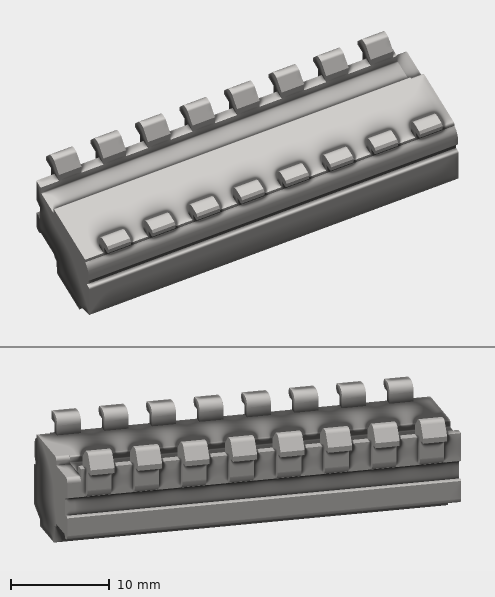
import cadquery as cq
import math


length = 41.5
end_length = 1.45
body_width = 12.5
top_z = 9.45

rib_width = 1.05
rib_bottom_z = 6.47
side_groove_x = 0.9
side_groove_top_z = 6.1
side_groove_round = 0.15
side_groove_bottom_z = 4.27
lip_rise = 0.15
lip_chamfer = 0.12
foot_z = 1.9
foot_round = 0.5
foot_width = 0.8
underside_z = 2.3

keel_left_x = 4.9
keel_right_x = 10.13
keel_left_draft = 0.15
keel_step_x = 4.1
keel_step_run = 0.25
keel_shoulder_z = 1.9
keel_shoulder_round = 0.15
keel_edge_round = 0.12
keel_right_draft = 0.12
keel_slope_z = 0.75

right_face_bottom_z = 1.65
notch_z = 5.95
notch_x = 11.85
notch_height = 0.4
cheek_x = 12.3
cheek_bottom_z = 6.95
cheek_top_z = 8.7
cheek_bottom_round = 0.2
cheek_top_round = 1.25
right_face_round = 0.2
top_right_x = 11.5
shoulder_z = 9.05

groove_floor_z = 8.7
groove_left_x = rib_width + 0.15
groove_wall_x = 4.05
groove_round = 0.12
groove_top_round = 0.15
end_floor_z = 8.6
end_wall_x = 4.1
end_corner_round = 0.55
end_top_round = 0.4
end_right_round = 0.25

clip_count = 8
clip_width = 2.55
clip_row_length = 35.03
last_clip_inset = 3.15
clip_pitch = clip_row_length / (clip_count - 1)
clip_top_z = 11.5
clip_root = 0.4

left_clip_tip_x = -2.05
left_clip_tip_z = 10.0
left_clip_peak_x = -1.0
left_clip_flat_end_x = -0.15
left_clip_right_z = 10.4
left_clip_peak_round = 0.65
left_clip_flat_round = 0.35
stem_x = -0.87
stem_bottom_z = 6.55

right_clip_tip_x = 12.65
right_clip_thickness = 1.0
right_clip_chamfer = 0.25


def rounded_prism(corners, y_start, y_end):
    """Extrude an XZ outline along Y. Each corner is (x, z) or (x, z, radius)."""
    outline = None
    for i, corner in enumerate(corners):
        x, z = corner[:2]
        radius = corner[2] if len(corner) == 3 else 0
        before = corners[i - 1]
        after = corners[(i + 1) % len(corners)]
        to_before = cq.Vector(before[0] - x, before[1] - z, 0).normalized()
        to_after = cq.Vector(after[0] - x, after[1] - z, 0).normalized()
        vertex = cq.Vector(x, z, 0)
        half_angle = to_before.getAngle(to_after) / 2
        setback = radius / math.tan(half_angle)
        start = vertex + to_before * setback
        if outline is None:
            outline = cq.Workplane("XZ", origin=(0, y_start, 0)).moveTo(start.x, start.y)
        else:
            outline = outline.lineTo(start.x, start.y)
        if radius:
            end = vertex + to_after * setback
            bisector = (to_before + to_after).normalized()
            middle = vertex + bisector * (radius / math.sin(half_angle) - radius)
            outline = outline.threePointArc((middle.x, middle.y), (end.x, end.y))
    return outline.close().extrude(y_start - y_end)


lip_z = side_groove_bottom_z + lip_rise

lower_outline = [
    (0, rib_bottom_z),
    (side_groove_x, side_groove_top_z, side_groove_round),
    (side_groove_x, side_groove_bottom_z),
    (side_groove_x / 2, lip_z),
    (lip_chamfer, lip_z),
    (0, lip_z - lip_chamfer),
    (0, foot_z, foot_round),
    (foot_width, foot_z),
    (rib_width, underside_z),
    (keel_step_x, underside_z),
    (keel_step_x + keel_step_run, keel_shoulder_z),
    (keel_left_x - keel_left_draft, keel_shoulder_z, keel_shoulder_round),
    (keel_left_x, 0, keel_edge_round),
    (keel_right_x, 0),
    (keel_right_x + keel_right_draft, keel_slope_z),
    (body_width, right_face_bottom_z, right_face_round),
    (body_width, notch_z, right_face_round),
    (notch_x, notch_z),
    (notch_x, notch_z + notch_height),
    (cheek_x, cheek_bottom_z, cheek_bottom_round),
    (cheek_x, cheek_top_z, cheek_top_round),
    (top_right_x, shoulder_z),
]

main_top = [
    (top_right_x, top_z),
    (groove_wall_x, top_z, groove_top_round),
    (groove_wall_x, groove_floor_z, groove_round),
    (groove_left_x, groove_floor_z, groove_round),
    (rib_width, top_z),
    (0, top_z),
]

end_top = [
    (top_right_x, top_z, end_right_round),
    (end_wall_x, top_z, end_top_round),
    (end_wall_x, end_floor_z),
    (0, end_floor_z, end_corner_round),
]

left_clip = [
    (rib_width, top_z),
    (rib_width, left_clip_right_z),
    (left_clip_flat_end_x, clip_top_z, left_clip_flat_round),
    (left_clip_peak_x, clip_top_z, left_clip_peak_round),
    (left_clip_tip_x, left_clip_tip_z),
    (left_clip_tip_x, top_z),
    (stem_x, top_z),
    (stem_x, stem_bottom_z, -stem_x),
    (clip_root, stem_bottom_z),
    (clip_root, top_z),
]

right_clip_left_x = top_right_x - right_clip_thickness
right_clip_under_z = clip_top_z - right_clip_thickness
right_clip = [
    (right_clip_left_x, top_z - clip_root),
    (top_right_x, top_z - clip_root),
    (top_right_x, right_clip_under_z),
    (right_clip_tip_x - right_clip_chamfer, right_clip_under_z),
    (right_clip_tip_x, right_clip_under_z + right_clip_chamfer),
    (right_clip_tip_x, clip_top_z - right_clip_chamfer),
    (right_clip_tip_x - right_clip_chamfer, clip_top_z),
    (right_clip_left_x, clip_top_z, right_clip_thickness),
]

main_length = length - end_length
result = rounded_prism(lower_outline + main_top, 0, main_length)
result = result.union(rounded_prism(lower_outline + end_top, main_length, length))

for index in range(clip_count):
    clip_end = length - last_clip_inset + clip_width / 2 - index * clip_pitch
    for clip in (left_clip, right_clip):
        result = result.union(rounded_prism(clip, clip_end - clip_width, clip_end))